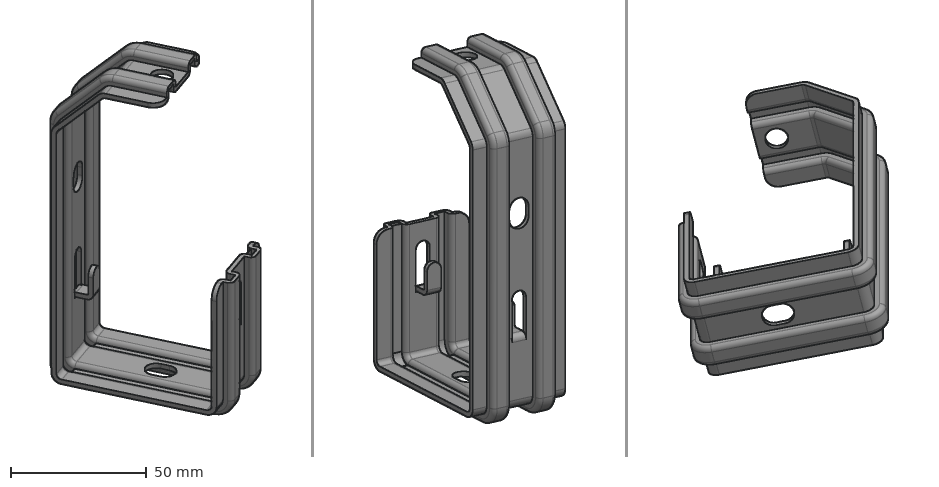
import cadquery as cq
import math

WIDTH_X = 73.5
WIDTH_Y = 41.0
HEIGHT = 135.2

THICKNESS = 2.0
BEND_RADIUS = 2.0
TOP_END_X = 10.5
LEG_TOP_Z = 58.0
END_CORNER_RADIUS = 5.0
SHOULDER_RUN = 17.6

RIB_DEPTH = 3.8
RIB_WIDTH = 8.4
RIB_PITCH = 20.3
RIB_ROUNDING = 2.0
RIB_ROOF_THICKNESS = 1.6

LINER_THICKNESS = 0.1

HOLE_DIAMETER = 8.5
SLOT_LENGTH = 12.0
TOP_HOLE_X = 2.6
FLOOR_SLOT_X = 2.0
WALL_SLOT_Z = 80.7

HOOK_WIDTH = 6.2
HOOK_REACH = 7.5
HOOK_SHELF_Z = 31.2
HOOK_TIP_Z = 44.1
HOOK_BEND_RADIUS = 0.5
WINDOW_TOP_Z = 50.3

INNER_X = WIDTH_X / 2 - RIB_DEPTH - THICKNESS
OUTER_X = INNER_X + THICKNESS
FLOOR_Z = RIB_DEPTH + THICKNESS
CEILING_Z = HEIGHT - FLOOR_Z

BEND_X = INNER_X - BEND_RADIUS
LOWER_BEND_Z = FLOOR_Z + BEND_RADIUS
UPPER_BEND_Z = CEILING_Z - BEND_RADIUS
SHOULDER_X = SHOULDER_RUN - BEND_X
SHOULDER_Z = UPPER_BEND_Z - SHOULDER_RUN

RIB_YS = (-RIB_PITCH / 2, RIB_PITCH / 2)
HALF_RIB = RIB_WIDTH / 2
HALF_CHANNEL = HALF_RIB - THICKNESS
ROOF_X = OUTER_X + RIB_DEPTH
CHANNEL_ROOF_X = ROOF_X - RIB_ROOF_THICKNESS

HOOK_FOOT_Z = HOOK_SHELF_Z - HOOK_BEND_RADIUS


def on_arc(center, radius, degrees):
    """Point at an angle on a circle."""
    angle = math.radians(degrees)
    return (center[0] + radius * math.cos(angle), center[1] + radius * math.sin(angle))


def add_arc(outline, center, radius, start, end):
    """Continue an outline from the arc's start point to its end."""
    middle = on_arc(center, radius, (start + end) / 2)
    return outline.threePointArc(middle, on_arc(center, radius, end))


def strip_path():
    """Inner face of the strip, from the top of the short leg to the end of the top."""
    path = cq.Workplane("XZ").moveTo(INNER_X, LEG_TOP_Z)
    bends = (
        ((BEND_X, LOWER_BEND_Z), 0, -90),
        ((-BEND_X, LOWER_BEND_Z), -90, -180),
        ((-BEND_X, SHOULDER_Z), -180, -225),
        ((SHOULDER_X, UPPER_BEND_Z), -225, -270),
    )
    for center, start, end in bends:
        path = path.lineTo(*on_arc(center, BEND_RADIUS, start))
        path = add_arc(path, center, BEND_RADIUS, start, end)
    return path.lineTo(TOP_END_X, CEILING_Z)


def strip_section():
    """Cross-section of the ribbed strip at the top of the short leg."""
    r = RIB_ROUNDING
    mouth_x = INNER_X + r
    shoulder_x = ROOF_X - r
    section = cq.Workplane("XY", origin=(0, 0, LEG_TOP_Z)).moveTo(INNER_X, -WIDTH_Y / 2)
    for y in RIB_YS:
        low = y - HALF_CHANNEL
        high = y + HALF_CHANNEL
        section = section.lineTo(INNER_X, low - r)
        section = add_arc(section, (mouth_x, low - r), r, 180, 90)
        section = section.lineTo(CHANNEL_ROOF_X, low).lineTo(CHANNEL_ROOF_X, high)
        section = section.lineTo(mouth_x, high)
        section = add_arc(section, (mouth_x, high + r), r, 270, 180)
    section = section.lineTo(INNER_X, WIDTH_Y / 2).lineTo(OUTER_X, WIDTH_Y / 2)
    for y in reversed(RIB_YS):
        low = y - HALF_RIB
        high = y + HALF_RIB
        section = section.lineTo(OUTER_X, high).lineTo(shoulder_x, high)
        section = add_arc(section, (shoulder_x, high - r), r, 90, 0)
        section = section.lineTo(ROOF_X, low + r)
        section = add_arc(section, (shoulder_x, low + r), r, 0, -90)
        section = section.lineTo(OUTER_X, low)
    return section.lineTo(OUTER_X, -WIDTH_Y / 2).close()


def cut_holes(strip):
    """Round hole in the top, slots in the floor and in the tall wall."""
    top_hole = (
        cq.Workplane("XY", origin=(TOP_HOLE_X, 0, UPPER_BEND_Z))
        .circle(HOLE_DIAMETER / 2)
        .extrude(HEIGHT - UPPER_BEND_Z)
    )
    floor_slot = (
        cq.Workplane("XY", origin=(FLOOR_SLOT_X, 0, 0))
        .slot2D(SLOT_LENGTH, HOLE_DIAMETER)
        .extrude(LOWER_BEND_Z)
    )
    wall_slot = (
        cq.Workplane("YZ", origin=(-WIDTH_X / 2, 0, WALL_SLOT_Z))
        .slot2D(SLOT_LENGTH, HOLE_DIAMETER, 90)
        .extrude(WIDTH_X / 2)
    )
    return strip.cut(top_hole).cut(floor_slot).cut(wall_slot)


def corner_waste(plane, side, end):
    """Piece outside one rounded end corner, in a plane whose axes run across and along the strip."""
    r = END_CORNER_RADIUS
    edge = side * WIDTH_Y / 2
    center = (edge - side * r, end - r)
    outline = plane.moveTo(edge, center[1]).lineTo(edge, end).lineTo(center[0], end)
    outline = add_arc(outline, center, r, 90, 90 - side * 90)
    return outline.close().extrude(THICKNESS)


def trim_end_corners(strip):
    """Round the free corners at both ends of the strip."""
    leg_plane = cq.Workplane("YZ", origin=(INNER_X, 0, 0))
    top_plane = cq.Workplane("YX", origin=(0, 0, CEILING_Z + THICKNESS))
    for side in (1, -1):
        strip = strip.cut(corner_waste(leg_plane, side, LEG_TOP_Z))
        strip = strip.cut(corner_waste(top_plane, side, TOP_END_X))
    return strip


def round_topped(width, foot_z, top_z):
    """Bar along X over the whole width, upright in Z, with a semicircular top."""
    half = width / 2
    return (
        cq.Workplane("YZ", origin=(-WIDTH_X / 2, 0, 0))
        .moveTo(-half, foot_z)
        .lineTo(-half, top_z - half)
        .threePointArc((0, top_z), (half, top_z - half))
        .lineTo(half, foot_z)
        .close()
        .extrude(WIDTH_X)
    )


def hook():
    """Hook of the short leg: out of the wall, along a shelf and up to a round tip."""
    inner_r = HOOK_BEND_RADIUS
    outer_r = HOOK_BEND_RADIUS + THICKNESS
    foot_bend = (INNER_X - inner_r, HOOK_FOOT_Z)
    tip_x = INNER_X - HOOK_REACH
    tip_bend = (tip_x + outer_r, HOOK_SHELF_Z + outer_r)
    outline = cq.Workplane("XZ", origin=(0, HOOK_WIDTH / 2, 0)).moveTo(OUTER_X, HOOK_FOOT_Z)
    outline = add_arc(outline, foot_bend, outer_r, 0, 90)
    outline = outline.lineTo(tip_bend[0], HOOK_SHELF_Z + THICKNESS)
    outline = add_arc(outline, tip_bend, inner_r, -90, -180)
    outline = outline.lineTo(tip_x + THICKNESS, HOOK_TIP_Z)
    outline = outline.lineTo(tip_x, HOOK_TIP_Z)
    outline = outline.lineTo(tip_x, tip_bend[1])
    outline = add_arc(outline, tip_bend, outer_r, -180, -90)
    outline = outline.lineTo(foot_bend[0], HOOK_SHELF_Z)
    outline = add_arc(outline, foot_bend, inner_r, 90, 0)
    return outline.close().extrude(HOOK_WIDTH).intersect(round_topped(HOOK_WIDTH, 0, HOOK_TIP_Z))


def bracket():
    """Bent strip with ribs, holes and the two hooks."""
    strip = trim_end_corners(cut_holes(strip_section().sweep(strip_path())))
    strip = strip.cut(round_topped(HOOK_WIDTH, HOOK_FOOT_Z, WINDOW_TOP_Z))
    right_hook = hook()
    return strip.union(right_hook).union(right_hook.mirror("YZ"))


def liner(outline, rib_y):
    """Thin sheet across the mouth of a rib channel, from its outline in the XZ plane."""
    return outline.extrude(HALF_CHANNEL, both=True).translate((0, rib_y, 0))


def leg_outline():
    """Liner along the straight part of the short leg."""
    return (
        cq.Workplane("XZ")
        .moveTo(OUTER_X, LOWER_BEND_Z)
        .rect(LINER_THICKNESS, LEG_TOP_Z - LOWER_BEND_Z, centered=False)
    )


def bend_outline():
    """Liner around the bend between the short leg and the floor."""
    center = (BEND_X, LOWER_BEND_Z)
    inner_r = OUTER_X - BEND_X
    outer_r = inner_r + LINER_THICKNESS
    outline = cq.Workplane("XZ").moveTo(*on_arc(center, inner_r, 0))
    outline = add_arc(outline, center, inner_r, 0, -90)
    outline = outline.lineTo(*on_arc(center, outer_r, -90))
    return add_arc(outline, center, outer_r, -90, 0).close()


def floor_outline():
    """Liner along the floor, between its two bends."""
    return (
        cq.Workplane("XZ")
        .moveTo(-BEND_X, RIB_DEPTH)
        .rect(2 * BEND_X, -LINER_THICKNESS, centered=False)
    )


body = bracket()

FRONT_RIB_Y, BACK_RIB_Y = RIB_YS
liner_places = (
    (leg_outline(), BACK_RIB_Y),
    (bend_outline(), BACK_RIB_Y),
    (floor_outline(), BACK_RIB_Y),
    (floor_outline(), FRONT_RIB_Y),
)
liners = [liner(outline, rib_y) for outline, rib_y in liner_places]

result = cq.Compound.makeCompound([body.val(), *[sheet.val() for sheet in liners]])